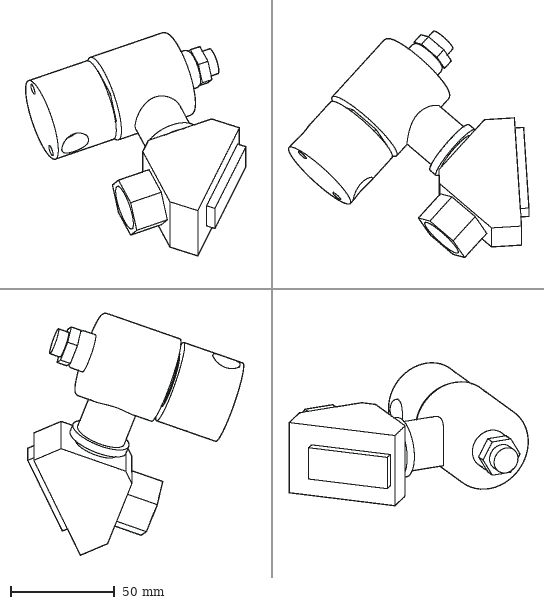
import cadquery as cq
import math


housing_diameter = 42.0
housing_front_y = -19.2
housing_back_y = 20.2
housing_fillet = 1.9

shoulder_diameter = 19.0
shoulder_length = 7.7
shoulder_fillet = 2.3
gland_hex_flats = 17.0
gland_hex_length = 5.0
gland_stem_diameter = 12.7
gland_stem_length = 5.1

arm_diameter = 24.1
flange_start_x = 37.6
flange_thickness = 3.9
flange_diameter = 29.0
neck_diameter = 21.4

cap_diameter = 40.0
cap_length = 30.3
nut_flats = 25.8
nut_thickness = 1.7
washer_diameter = 25.5
washer_thickness = 0.6
side_hole_diameter = 14.0
side_hole_from_end = 8.9
side_hole_depth = 10.0
pin_hole_diameter = 5.0
pin_hole_offset = 11.0
pin_hole_depth = 6.8

block_left_x = 44.2
block_bottom_y = -20.2
block_side = 38.2
block_corner_cut = 5.0
block_wing = 10.2
block_height = 36.0

port_length = 16.0
port_bore_diameter = 21.6
port_bore_depth = 13.0

plate_length = 40.2
plate_thickness = 4.3
plate_height = 16.0
plate_inset = 2.4


def y_disc(diameter, start_y, length):
    """Cylinder on the Y axis, from start_y toward +Y."""
    return cq.Workplane("XZ", origin=(0, start_y, 0)).circle(diameter / 2).extrude(-length)


def x_disc(diameter, start_x, end_x):
    """Cylinder on the X axis."""
    return cq.Workplane("YZ", origin=(start_x, 0, 0)).circle(diameter / 2).extrude(end_x - start_x)


def y_hexagon(flats, x, start_y, length):
    """Hexagonal prism along Y with two corners pointing along X."""
    corner_diameter = flats / math.cos(math.pi / 6)
    return cq.Workplane("XZ", origin=(x, start_y, 0)).polygon(6, corner_diameter).extrude(-length)


def make_gland():
    hex_start_y = housing_back_y + shoulder_length
    stem_start_y = hex_start_y + gland_hex_length
    gland = y_disc(shoulder_diameter, housing_back_y, shoulder_length)
    gland = gland.faces(">Y").edges().fillet(shoulder_fillet)
    gland = gland.union(y_hexagon(gland_hex_flats, 0, hex_start_y, gland_hex_length))
    return gland.union(y_disc(gland_stem_diameter, stem_start_y, gland_stem_length))


def make_arm():
    flange_end_x = flange_start_x + flange_thickness
    arm = x_disc(arm_diameter, 0, flange_start_x)
    arm = arm.union(x_disc(flange_diameter, flange_start_x, flange_end_x))
    return arm.union(x_disc(neck_diameter, flange_end_x, block_left_x))


def make_housing():
    barrel = y_disc(housing_diameter, housing_front_y, housing_back_y - housing_front_y)
    barrel = barrel.faces(">Y").edges().fillet(housing_fillet)
    return barrel.union(make_gland()).union(make_arm())


def make_cap():
    nut_start_y = housing_front_y - nut_thickness
    cap_back_y = nut_start_y - washer_thickness
    cap_front_y = cap_back_y - cap_length
    cap = y_disc(cap_diameter, cap_front_y, cap_length)
    cap = cap.union(y_disc(washer_diameter, cap_back_y, washer_thickness))
    cap = cap.union(y_hexagon(nut_flats, 0, nut_start_y, nut_thickness))

    hole_y = cap_front_y + side_hole_from_end
    cap_radius = cap_diameter / 2
    for side in (-1, 1):
        hole = x_disc(side_hole_diameter, side * (cap_radius - side_hole_depth), side * cap_radius)
        cap = cap.cut(hole.translate((0, hole_y, 0)))

    for side in (-1, 1):
        hole = y_disc(pin_hole_diameter, cap_front_y, pin_hole_depth)
        cap = cap.cut(hole.translate((side * pin_hole_offset, 0, -side * pin_hole_offset)))
    return cap


def make_block():
    right_x = block_left_x + block_side
    top_y = block_bottom_y + block_side
    upper_corner = (block_left_x + block_wing, top_y + block_wing)
    outline = [
        (block_left_x, top_y),
        (block_left_x, block_bottom_y + block_corner_cut),
        (block_left_x + block_corner_cut, block_bottom_y),
        (right_x, block_bottom_y),
        (right_x + block_wing, block_bottom_y + block_wing),
        upper_corner,
    ]
    block = cq.Workplane("XY").polyline(outline).close().extrude(block_height / 2, both=True)

    plate = cq.Workplane("XY").box(plate_length, plate_thickness, plate_height, centered=(False, False, True))
    plate = plate.translate((plate_inset, 0, 0)).rotate((0, 0, 0), (0, 0, 1), -45)
    block = block.union(plate.translate((*upper_corner, 0)))

    port_x = block_left_x - block_bottom_y
    port_end_y = block_bottom_y - port_length
    block = block.union(y_hexagon(nut_flats, port_x, port_end_y, port_length))
    bore = y_disc(port_bore_diameter, port_end_y, port_bore_depth)
    return block.cut(bore.translate((port_x, 0, 0)))


housing = make_housing()
cap = make_cap()
block = make_block()
result = cq.Compound.makeCompound([housing.val(), cap.val(), block.val()])